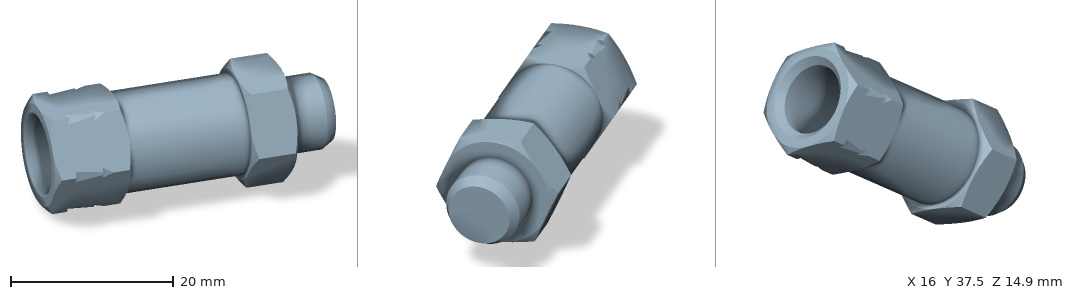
import cadquery as cq
import math

total_length = 37.5
socket_length = 10.0
nut_length = 6.0
spigot_length = 6.0
spigot_start = total_length - spigot_length
nut_start = spigot_start - nut_length

socket_flats = 13.0
nut_flats = 14.0
corner_count = 6
nut_turn = 7.5
hex_chamfer_angle = 30.0

body_diameter = 12.8
spigot_diameter = 9.6
spigot_tip_diameter = 7.95
spigot_taper_length = 1.4

bore_diameter = 8.8
bore_mouth_diameter = 10.6
mouth_depth = 0.9
bore_depth = 10.0

arrow_tail = 2.5
arrow_head_base = 6.0
arrow_tip = 7.35
arrow_depth = 0.4
arrow_cutter_half_width = 3.25
arrow_neck_depth = 0.1


def revolve_about_y(points):
    """Revolve an (x, y) outline about the Y axis."""
    return cq.Workplane("XY").polyline(points).close().revolve(360, (0, 0, 0), (0, 1, 0))


def corner_radius(flats):
    return flats / 2 / math.cos(math.pi / corner_count)


def hexagon(flats, start, length):
    """Hexagon along Y with corners on the X axis and both ends chamfered."""
    flat_radius = flats / 2
    outer_radius = corner_radius(flats)
    chamfer = (outer_radius - flat_radius) * math.tan(math.radians(hex_chamfer_angle))
    end = start + length
    prism = (
        cq.Workplane("XZ", origin=(0, start, 0))
        .polygon(corner_count, 2 * outer_radius)
        .extrude(-length)
    )
    envelope = revolve_about_y([
        (0, start),
        (flat_radius, start),
        (outer_radius, start + chamfer),
        (outer_radius, end - chamfer),
        (flat_radius, end),
        (0, end),
    ])
    return prism.intersect(envelope)


def arrow_cutter():
    """Two sloping wedges across one corner; the sloping floors form the arrow shape."""
    surface = corner_radius(socket_flats)
    outside = surface + arrow_depth
    floor = surface - arrow_depth
    return (
        cq.Workplane("XY")
        .polyline([
            (outside, arrow_tail),
            (floor, arrow_tail),
            (surface - arrow_neck_depth, arrow_head_base),
            (floor, arrow_head_base),
            (surface, arrow_tip),
            (outside, arrow_tip),
        ])
        .close()
        .extrude(arrow_cutter_half_width, both=True)
    )


socket = hexagon(socket_flats, 0, socket_length)
for corner in range(corner_count):
    angle = corner * 360 / corner_count
    socket = socket.cut(arrow_cutter().rotate((0, 0, 0), (0, 1, 0), angle))

nut = hexagon(nut_flats, nut_start, nut_length).rotate((0, 0, 0), (0, 1, 0), nut_turn)

body_radius = body_diameter / 2
spigot_radius = spigot_diameter / 2
shaft = revolve_about_y([
    (0, socket_length),
    (body_radius, socket_length),
    (body_radius, nut_start),
    (spigot_radius, nut_start),
    (spigot_radius, total_length - spigot_taper_length),
    (spigot_tip_diameter / 2, total_length),
    (0, total_length),
])

bore = revolve_about_y([
    (0, 0),
    (bore_mouth_diameter / 2, 0),
    (bore_diameter / 2, mouth_depth),
    (bore_diameter / 2, bore_depth),
    (0, bore_depth),
])

result = socket.union(shaft).union(nut).cut(bore)